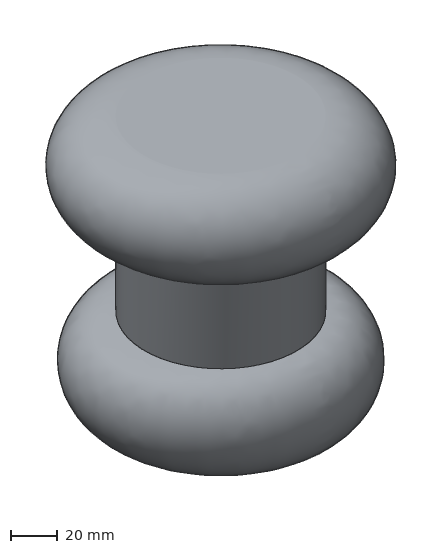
import cadquery as cq

total_height = 150.0
upper_bulge = 30.0
neck_radius = 45.0

level_height = total_height / 3
lower_bulge = level_height / 2


def roll(bottom_z, bulge):
    """Flat-faced disc whose rim is a half ellipse standing out by `bulge`."""
    half_height = level_height / 2
    top_z = bottom_z + level_height
    rim_profile = (
        cq.Workplane("XZ")
        .moveTo(neck_radius, bottom_z)
        .ellipseArc(bulge, half_height, -90, 90, startAtCurrent=True)
        .lineTo(0, top_z)
        .lineTo(0, bottom_z)
        .close()
    )
    return rim_profile.revolve(360, (0, 0, 0), (0, 1, 0))


neck = cq.Workplane("XY").workplane(offset=level_height).circle(neck_radius).extrude(level_height)
lower_roll = roll(0, lower_bulge)
upper_roll = roll(2 * level_height, upper_bulge)

result = lower_roll.union(neck).union(upper_roll)